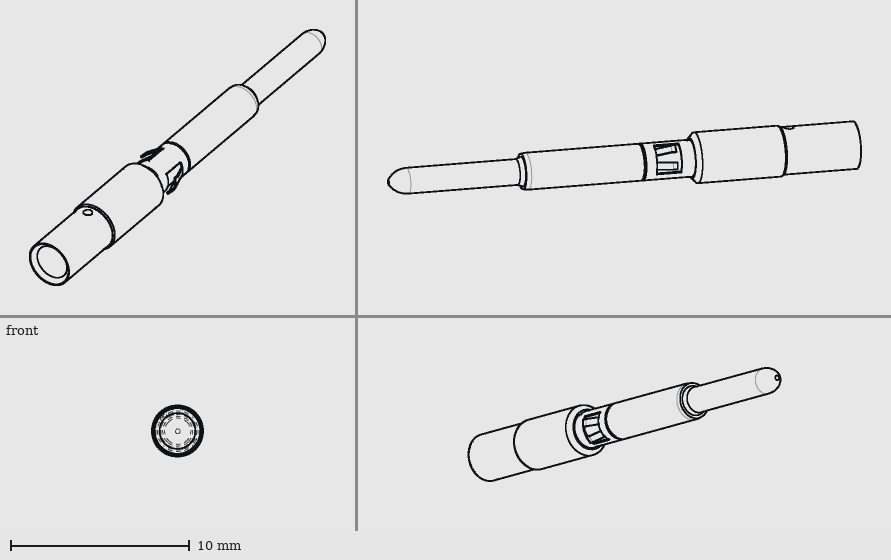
import cadquery as cq
import math

LENGTH = 27.07
PIN_R = 1.45 / 2
BARREL_R = 2.08 / 2
CORE_R = 1.9 / 2
BODY_R = 2.87 / 2
SOCKET_R = 2.68 / 2

BODY_REAR = 4.3
BODY_FRONT = 9.53
SLEEVE_FRONT = 12.37
BARREL_REAR = 12.48
BARREL_FRONT = 19.33
PIN_REAR = 19.63
TIP_START = 26.0

BODY_REAR_CHAMFER = 0.1
BODY_FRONT_CHAMFER = 0.3
BARREL_CHAMFER_LENGTH = 0.27
BARREL_CHAMFER_DEPTH = 0.04
FLARE_R = 0.85

TIP_END_R = 0.14

BORE_R = 2.0 / 2
BORE_DEPTH = 4.6
BORE_MOUTH_R = 1.27
BORE_MOUTH_DEPTH = 0.27
DRILL_HALF_ANGLE = 59.0
INSPECTION_R = 0.51 / 2
INSPECTION_Y = 3.82

WINDOW_REAR = 10.31
WINDOW_FRONT = 11.75
WINDOW_SPAN = 105.0
WINDOW_ANGLES = (157.5, 337.5)
TAB_OFFSETS = (-22.5, 22.5)
TAB_REAR = 10.65
TAB_BEND = 10.9
TAB_WIDTH = 0.4
TAB_TIP_R = 1.3
TAB_THICKNESS = 0.095
ROOT_OVERLAP = 0.05

NOTCH_LENGTH = 0.15
NOTCH_SPAN = 40.0
NOTCH_ANGLE = 65.0


def revolve_about_y(profile):
    return profile.close().revolve(360, (0, 0, 0), (0, 1, 0))


def turned_body():
    profile = (
        cq.Workplane("XY")
        .moveTo(0, 0)
        .lineTo(SOCKET_R, 0)
        .lineTo(SOCKET_R, BODY_REAR)
        .lineTo(BODY_R - BODY_REAR_CHAMFER / 2, BODY_REAR)
        .lineTo(BODY_R, BODY_REAR + BODY_REAR_CHAMFER)
        .lineTo(BODY_R, BODY_FRONT - BODY_FRONT_CHAMFER)
        .lineTo(BODY_R - BODY_FRONT_CHAMFER, BODY_FRONT)
        .lineTo(BARREL_R, BODY_FRONT)
        .lineTo(BARREL_R, SLEEVE_FRONT)
        .lineTo(CORE_R, SLEEVE_FRONT)
        .lineTo(CORE_R, BARREL_REAR)
        .lineTo(BARREL_R, BARREL_REAR)
        .lineTo(BARREL_R, BARREL_FRONT - BARREL_CHAMFER_LENGTH)
        .lineTo(BARREL_R - BARREL_CHAMFER_DEPTH, BARREL_FRONT)
        .lineTo(FLARE_R, BARREL_FRONT)
        .lineTo(PIN_R, PIN_REAR)
        .lineTo(PIN_R, TIP_START)
        .tangentArcPoint((TIP_END_R, LENGTH), relative=False)
        .lineTo(0, LENGTH)
    )
    return revolve_about_y(profile)


def crimp_bore():
    cone_depth = BORE_R / math.tan(math.radians(DRILL_HALF_ANGLE))
    profile = (
        cq.Workplane("XY")
        .moveTo(0, 0)
        .lineTo(BORE_MOUTH_R, 0)
        .lineTo(BORE_R, BORE_MOUTH_DEPTH)
        .lineTo(BORE_R, BORE_DEPTH)
        .lineTo(0, BORE_DEPTH + cone_depth)
    )
    return revolve_about_y(profile)


def inspection_hole():
    """Radial hole from the top (+Z) into the bore."""
    return cq.Workplane("XY").center(0, INSPECTION_Y).circle(INSPECTION_R).extrude(BODY_R)


def ring_sector(rear, front, span, angle):
    """Ring sector outside the core radius, centred on an angle measured from +X toward +Z."""
    sector = (
        cq.Workplane("XY")
        .moveTo(CORE_R, rear)
        .lineTo(BODY_R, rear)
        .lineTo(BODY_R, front)
        .lineTo(CORE_R, front)
        .close()
        .revolve(span, (0, 0, 0), (0, -1, 0))
    )
    return sector.rotate((0, 0, 0), (0, 1, 0), span / 2 - angle)


def latching_tab(angle):
    """Tab rooted at the front of the window, flaring outward, with a straight rear end."""
    tab = (
        cq.Workplane("XY")
        .moveTo(BARREL_R, WINDOW_FRONT)
        .lineTo(TAB_TIP_R, TAB_BEND)
        .lineTo(TAB_TIP_R, TAB_REAR)
        .lineTo(TAB_TIP_R - TAB_THICKNESS, TAB_REAR)
        .lineTo(TAB_TIP_R - TAB_THICKNESS, TAB_BEND)
        .lineTo(CORE_R, WINDOW_FRONT)
        .lineTo(CORE_R, WINDOW_FRONT + ROOT_OVERLAP)
        .lineTo(CORE_R + ROOT_OVERLAP, WINDOW_FRONT + ROOT_OVERLAP)
        .close()
        .extrude(TAB_WIDTH / 2, both=True)
    )
    return tab.rotate((0, 0, 0), (0, 1, 0), -angle)


notch = ring_sector(BODY_FRONT, BODY_FRONT + NOTCH_LENGTH, NOTCH_SPAN, NOTCH_ANGLE)
result = turned_body().cut(crimp_bore()).cut(inspection_hole()).cut(notch)
for window_angle in WINDOW_ANGLES:
    result = result.cut(ring_sector(WINDOW_REAR, WINDOW_FRONT, WINDOW_SPAN, window_angle))
    for offset in TAB_OFFSETS:
        result = result.union(latching_tab(window_angle + offset))